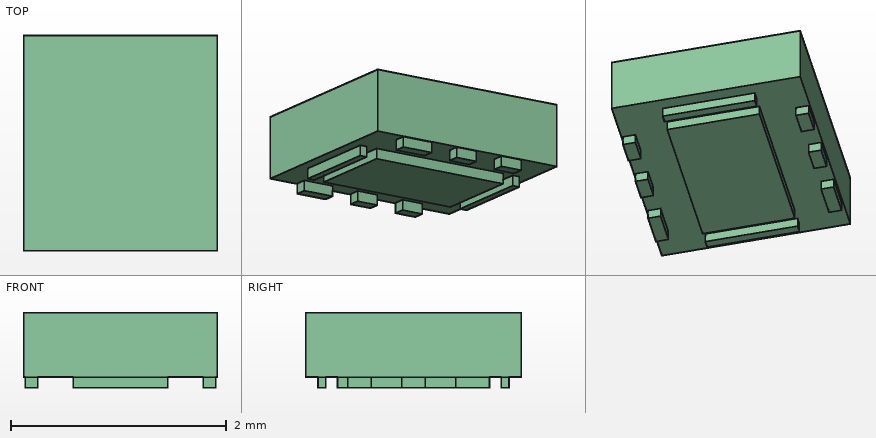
import cadquery as cq

housing_width = 1.8
housing_length = 2.0
housing_height = 0.6
pad_height = 0.1

pad_edge_inset = 0.015
side_pad_width = 0.12
side_pad_length = 0.22
side_pad_pitch = 0.5
long_pad_extension = 0.095

end_pad_inset = 0.112
end_pad_depth = 0.075

centre_pad_width = 0.88
centre_pad_length = 2 * (side_pad_pitch + side_pad_length / 2 + long_pad_extension)


def make_pad(width, length, x, y):
    """A rectangular pad centred at (x, y), from Z = 0 up to the housing."""
    return cq.Workplane("XY").center(x, y).rect(width, length).extrude(pad_height)


housing = (
    cq.Workplane("XY")
    .workplane(offset=pad_height)
    .rect(housing_width, housing_length)
    .extrude(housing_height)
)

centre_pad = make_pad(centre_pad_width, centre_pad_length, 0, 0)

side_pad_x = housing_width / 2 - pad_edge_inset - side_pad_width / 2
end_pad_y = housing_length / 2 - end_pad_inset - end_pad_depth / 2

side_pads = []
end_pads = []
for side in (-1, 1):
    for row in (-1, 0, 1):
        extension = long_pad_extension if row == 1 else 0
        length = side_pad_length + extension
        y = row * side_pad_pitch + extension / 2
        side_pads.append(make_pad(side_pad_width, length, side * side_pad_x, y).val())
    end_pads.append(make_pad(centre_pad_width, end_pad_depth, 0, side * end_pad_y).val())

result = cq.Compound.makeCompound([housing.val(), centre_pad.val(), *side_pads, *end_pads])